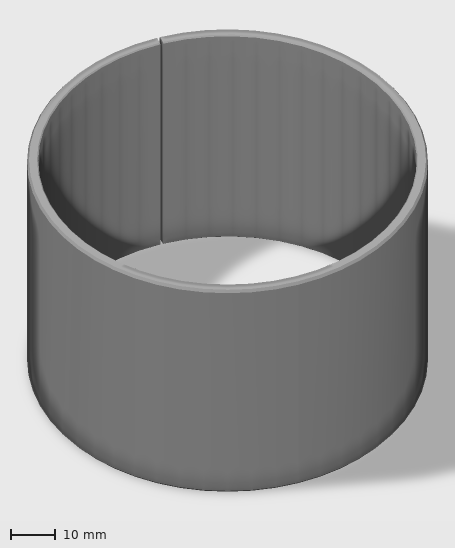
import cadquery as cq

outer_diameter = 90.0
wall = 2.5
height = 60.0
slit_width = 0.7
outer_chamfer_height = 0.6
outer_chamfer_depth = 0.45
inner_chamfer = 0.3

outer_radius = outer_diameter / 2
inner_radius = outer_radius - wall

wall_section = [
    (inner_radius + inner_chamfer, 0),
    (outer_radius - outer_chamfer_depth, 0),
    (outer_radius, outer_chamfer_height),
    (outer_radius, height - outer_chamfer_height),
    (outer_radius - outer_chamfer_depth, height),
    (inner_radius + inner_chamfer, height),
    (inner_radius, height - inner_chamfer),
    (inner_radius, inner_chamfer),
]
sleeve = cq.Workplane("XZ").polyline(wall_section).close().revolve(360, (0, 0), (0, 1))

slit = cq.Workplane("XY").box(outer_radius, slit_width, height, centered=False)
slit = slit.translate((-outer_radius, 0, 0))

result = sleeve.cut(slit)